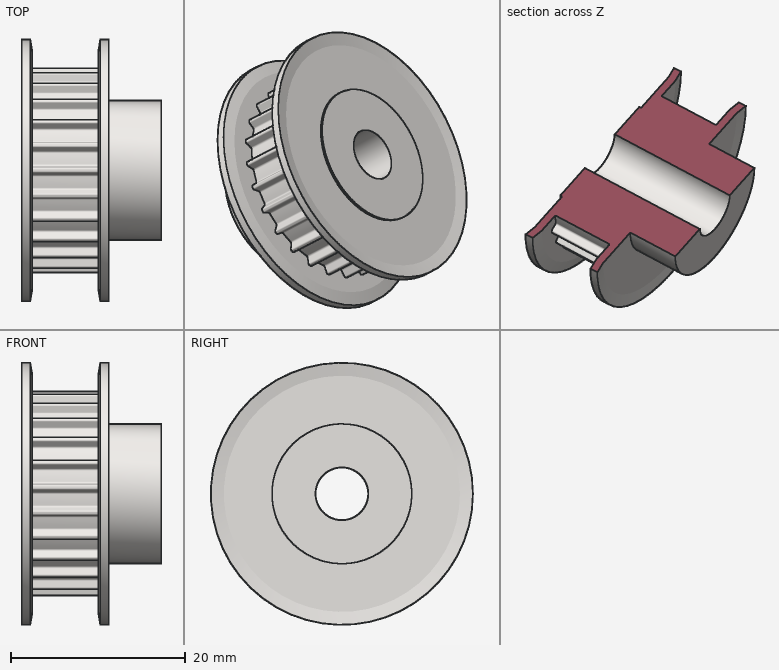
import math

import cadquery as cq


total_length = 16.0
pulley_width = 10.0
flange_diameter = 30.0
hub_diameter = 16.0
bore_diameter = 6.0

flange_thickness = 1.0
flange_dish = 0.25
flange_flat_diameter = 27.0

tooth_count = 25
tip_radius = 11.72
root_radius = 10.75
groove_half_width = 0.82
flank_angle = math.radians(25)
root_fillet = 0.25
tip_fillet = 0.2

flange_radius = flange_diameter / 2
flange_flat_radius = flange_flat_diameter / 2
hub_radius = hub_diameter / 2


def polar(radius, angle):
    """Point on the YZ plane, with the angle measured from +Y toward +Z."""
    return (radius * math.cos(angle), radius * math.sin(angle))


def fillet_center(center_radius, offset):
    """Polar place of a fillet centre on a line parallel to the flank.

    The groove centre line is angle zero; a positive offset lies on the groove side of the flank.
    """
    along_base = root_radius + offset * math.sin(flank_angle)
    across_base = groove_half_width - offset * math.cos(flank_angle)
    projection = along_base * math.cos(flank_angle) + across_base * math.sin(flank_angle)
    base_squared = along_base**2 + across_base**2
    travel = math.sqrt(projection**2 - base_squared + center_radius**2) - projection
    along = along_base + travel * math.cos(flank_angle)
    across = across_base + travel * math.sin(flank_angle)
    return center_radius, math.atan2(across, along)


def fillet_points(center, fillet_radius, start_direction, end_direction):
    """Start, middle and end of a fillet arc, relative to the groove centre line."""
    center_along, center_across = polar(*center)
    points = []
    for direction in (start_direction, (start_direction + end_direction) / 2, end_direction):
        along, across = polar(fillet_radius, direction)
        points.append((center_along + along, center_across + across))
    return points


def groove_side():
    """Points of one groove side from the root circle out to the tip circle."""
    toward_flank = flank_angle + math.pi / 2
    root_center = fillet_center(root_radius + root_fillet, root_fillet)
    tip_center = fillet_center(tip_radius - tip_fillet, -tip_fillet)
    root_arc = fillet_points(root_center, root_fillet, root_center[1] + math.pi, toward_flank)
    tip_arc = fillet_points(tip_center, tip_fillet, toward_flank - math.pi, tip_center[1])
    return root_arc + tip_arc


def turned(point, angle):
    along, across = point
    return polar(math.hypot(along, across), math.atan2(across, along) + angle)


def make_tooth_ring():
    """Toothed ring outline, with one groove centred on -Z, swept over the pulley width."""
    pitch_angle = 2 * math.pi / tooth_count
    right_side = groove_side()
    left_side = [(along, -across) for along, across in reversed(right_side)]
    first_angle = -math.pi / 2
    x_start = flange_dish
    x_end = pulley_width - flange_dish

    outline = cq.Workplane("YZ", origin=(x_start, 0, 0)).moveTo(*turned(left_side[0], first_angle))
    for index in range(tooth_count):
        angle = first_angle + index * pitch_angle
        tip_in, tip_in_mid, flank_in, flank_in_end, root_in_mid, root_in = (
            turned(point, angle) for point in left_side
        )
        root_out, root_out_mid, flank_out, flank_out_end, tip_out_mid, tip_out = (
            turned(point, angle) for point in right_side
        )
        next_tip = turned(left_side[0], angle + pitch_angle)
        outline = (
            outline.threePointArc(tip_in_mid, flank_in)
            .lineTo(*flank_in_end)
            .threePointArc(root_in_mid, root_in)
            .threePointArc(polar(root_radius, angle), root_out)
            .threePointArc(root_out_mid, flank_out)
            .lineTo(*flank_out_end)
            .threePointArc(tip_out_mid, tip_out)
            .threePointArc(polar(tip_radius, angle + pitch_angle / 2), next_tip)
        )
    return outline.close().extrude(x_end - x_start)


def make_flange():
    """Dished flange of the -X side: flat disc with its outer band bent toward -X."""
    profile = [
        (flange_dish, 0),
        (flange_dish, flange_flat_radius),
        (0, flange_radius),
        (flange_thickness, flange_radius),
        (flange_thickness + flange_dish, flange_flat_radius),
        (flange_thickness + flange_dish, 0),
    ]
    return cq.Workplane("XY").polyline(profile).close().revolve(360, (0, 0, 0), (1, 0, 0))


def make_hub():
    """Round core standing proud of both flanges, longer on the +X side."""
    return cq.Workplane("YZ").circle(hub_radius).extrude(total_length)


def make_bore():
    return cq.Workplane("YZ").circle(bore_diameter / 2).extrude(total_length)


near_flange = make_flange()
far_flange = near_flange.mirror("YZ").translate((pulley_width, 0, 0))

result = make_tooth_ring().union(near_flange).union(far_flange).union(make_hub()).cut(make_bore())